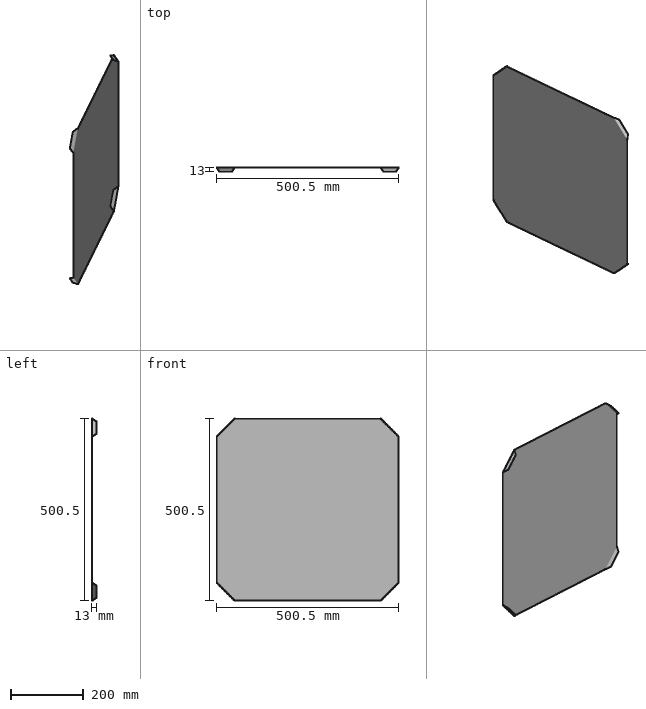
import cadquery as cq
import math

overall_width = 500.52
sheet_width = 500.0
overall_depth = 13.0
thickness = 0.8
inner_bend_radius = 0.6
corner_leg = 51.0
end_taper_angle = 45.0

outer_bend_radius = inner_bend_radius + thickness
back_y = overall_depth / 2
front_y = back_y - thickness
bend_end_y = back_y - outer_bend_radius
tip_y = back_y - overall_depth

diagonal = math.sqrt(0.5)
bend_start = (sheet_width - corner_leg) * diagonal
outer_face = bend_start + outer_bend_radius
inner_face = outer_face - thickness

half_flange = overall_width * diagonal - outer_face
end_inset = (bend_end_y - tip_y) * math.tan(math.radians(end_taper_angle))
half_tip = half_flange - end_inset


def make_panel():
    """Flat square panel with its four corners cut off along the bend lines."""
    return (
        cq.Workplane("XZ", origin=(0, back_y, 0))
        .rect(sheet_width, sheet_width)
        .extrude(thickness)
        .edges("|Y")
        .chamfer(corner_leg)
    )


def bend_midpoint(radius):
    """Middle of a quarter-circle bend surface of the given radius."""
    return (bend_start + radius * diagonal, bend_end_y + radius * diagonal)


def make_flange():
    """Flange beyond a bend line at +X, turned down toward -Y, with sloping ends."""
    profile = (
        cq.Workplane("XY")
        .moveTo(bend_start, back_y)
        .threePointArc(bend_midpoint(outer_bend_radius), (outer_face, bend_end_y))
        .lineTo(outer_face, tip_y)
        .lineTo(inner_face, tip_y)
        .lineTo(inner_face, bend_end_y)
        .threePointArc(bend_midpoint(inner_bend_radius), (bend_start, front_y))
        .close()
        .extrude(half_flange, both=True)
    )
    end_outline = (
        cq.Workplane("YZ", origin=(bend_start, 0, 0))
        .polyline([
            (back_y, half_flange),
            (bend_end_y, half_flange),
            (tip_y, half_tip),
            (tip_y, -half_tip),
            (bend_end_y, -half_flange),
            (back_y, -half_flange),
        ])
        .close()
        .extrude(outer_bend_radius)
    )
    return profile.intersect(end_outline)


def make_part():
    """Panel with one flange on each of its four cut corners."""
    corner_count = 4
    corner_step = 360 / corner_count
    body = make_panel()
    flange = make_flange()
    for corner in range(corner_count):
        angle = (corner + 0.5) * corner_step
        body = body.union(flange.rotate((0, 0, 0), (0, 1, 0), angle))
    return body


result = make_part()